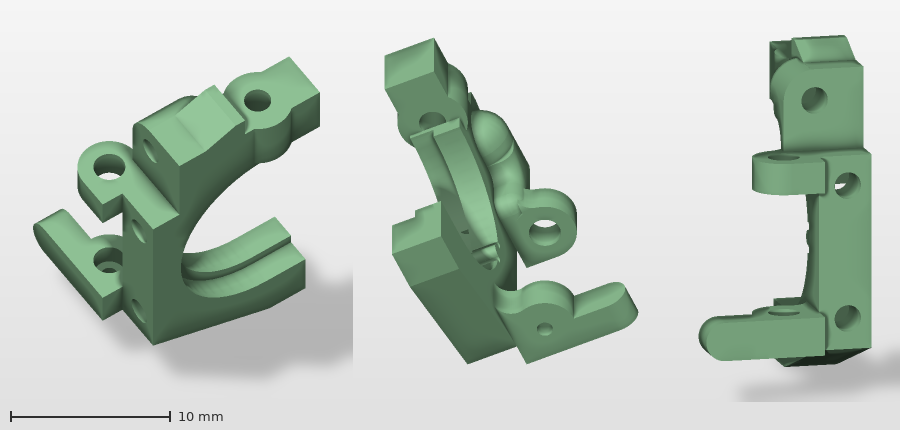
import cadquery as cq
import math

plate_x = 7.65
plate_thickness = 3.38
plate_end_x = plate_x + plate_thickness
plate_middle_x = plate_x + plate_thickness / 2
plate_front_y = 1.5
total_height = 21.5
foot_top_z = 2.97
foot_corner_y = 10.35
arm_end_y = 13.1
shelf_z = 15.37
head_front_y = 3.5
head_top_z = 20.55
ramp_start_y = 5.5
ramp_end_y = 7.78
peak_back_y = 8.5
upper_end_y = 10.3

bore_y = 10.1
bore_z = 9.59
bore_radius = 5.78
recess_x = 9.44
recess_radius = 6.5
tooth_y = 4.32
tooth_radius = 0.5
notch_radius = 0.25

lug_bottom_z = 16.38
lug_top_z = 20.04
lug_end_y = 14.2
boss_y = 10.62
boss_radius = plate_end_x - plate_middle_x + 0.52

screw_diameter = 1.7
screw_depth = 3.0
screw_x = 9.5
upper_screw_z = 13.44
lower_screw_z = 4.92

barrel_radius = 2.0
barrel_x = 7.87
barrel_z = head_top_z - barrel_radius
barrel_bottom_z = barrel_z - barrel_radius
barrel_round = 1.7
head_side_x = barrel_x - barrel_radius

web_back_y = 5.03
web_head_y = 6.02
web_bend = 0.99
web_edge_round = 0.95

ear_x = 5.5
ear_radius = 2.0
ear_y = ear_radius
upper_ear_thickness = 2.0
upper_ear_z = shelf_z - upper_ear_thickness
lower_ear_top_z = 5.42
lower_ear_thickness = lower_ear_top_z - foot_top_z
lower_ear_blend_y = 5.0
pivot_diameter = 2.0
pivot_small_diameter = 1.0
pivot_depth = 1.5
finger_width = 2.0

diagonal = math.sqrt(0.5)


def box(x0, x1, y0, y1, z0, z1):
    return cq.Workplane("XY").box(x1 - x0, y1 - y0, z1 - z0, centered=False).translate((x0, y0, z0))


def cylinder_x(radius, x0, x1, y, z):
    return cq.Workplane("YZ", origin=(x0, 0, 0)).center(y, z).circle(radius).extrude(x1 - x0)


def cylinder_y(radius, y0, y1, x, z):
    return cq.Workplane("XZ", origin=(0, y0, 0)).center(x, z).circle(radius).extrude(y0 - y1)


def cylinder_z(radius, z0, z1, x, y):
    return cq.Workplane("XY", origin=(0, 0, z0)).center(x, y).circle(radius).extrude(z1 - z0)


def frame_opening(radius, x0, x1):
    """Round bore that runs out straight toward +Y."""
    bore = cylinder_x(radius, x0, x1, bore_y, bore_z)
    return bore.union(box(x0, x1, bore_y, lug_end_y, bore_z - radius, bore_z + radius))


def make_frame():
    outline = [
        (plate_front_y, foot_top_z),
        (plate_front_y, shelf_z),
        (head_front_y, shelf_z),
        (head_front_y, head_top_z),
        (ramp_start_y, head_top_z),
        (ramp_end_y, total_height),
        (peak_back_y, total_height),
        (peak_back_y, lug_top_z),
        (upper_end_y, lug_top_z),
        (upper_end_y, bore_z),
        (arm_end_y, bore_z),
        (arm_end_y, 0),
        (foot_corner_y, 0),
    ]
    frame = cq.Workplane("YZ", origin=(plate_x, 0, 0)).polyline(outline).close().extrude(plate_thickness)
    frame = frame.cut(frame_opening(bore_radius, plate_x, plate_end_x))
    for side in (-1, 1):
        notch_z = bore_z + side * (tooth_radius + notch_radius)
        frame = frame.cut(cylinder_x(notch_radius, plate_x, recess_x, tooth_y, notch_z))
    frame = frame.union(cylinder_x(tooth_radius, plate_x, recess_x, tooth_y, bore_z))
    return frame.cut(frame_opening(recess_radius, recess_x, plate_end_x))


def make_lug():
    bar = box(plate_x, plate_end_x, peak_back_y, lug_end_y, lug_bottom_z, lug_top_z)
    return bar.union(cylinder_z(boss_radius, lug_bottom_z, lug_top_z, plate_middle_x, boss_y))


def make_barrel():
    """Rounded cylinder, kept only on the -X side of the plate."""
    barrel = cylinder_y(barrel_radius, head_front_y, peak_back_y, barrel_x, barrel_z)
    barrel = barrel.faces(">Y").edges().fillet(barrel_round)
    return barrel.intersect(box(0, plate_x, 0, lug_end_y, 0, total_height))


def web_slab(x0, x1):
    """Slab under the barrel that bends down to the ear and has a rounded bottom back corner."""
    bend_z = barrel_bottom_z - web_bend
    inner_reach = web_bend * (1 - diagonal)
    return (
        cq.Workplane("YZ", origin=(x0, 0, 0))
        .moveTo(head_front_y, barrel_z)
        .lineTo(web_head_y, barrel_z)
        .lineTo(web_head_y, barrel_bottom_z)
        .threePointArc((web_back_y + inner_reach, barrel_bottom_z - inner_reach), (web_back_y, bend_z))
        .lineTo(web_back_y, upper_ear_z + web_bend)
        .threePointArc(
            (web_back_y - inner_reach, upper_ear_z + inner_reach),
            (web_back_y - web_bend, upper_ear_z),
        )
        .lineTo(head_front_y, upper_ear_z)
        .close()
        .extrude(x1 - x0)
    )


def make_web():
    """Slab beside the plate with its outer back edge rounded."""
    web = web_slab(head_side_x, plate_x)
    outer_back_edge = cq.selectors.BoxSelector(
        (head_side_x - 0.22, web_back_y - 0.22, upper_ear_z + 0.22),
        (head_side_x + 0.22, web_head_y - 0.22, barrel_bottom_z),
    )
    return web.edges(outer_back_edge).fillet(web_edge_round)


def ear_plate(bottom_z, thickness):
    plate = cylinder_z(ear_radius, bottom_z, bottom_z + thickness, ear_x, ear_y)
    return plate.union(box(ear_x, plate_x, 0, head_front_y, bottom_z, bottom_z + thickness))


def make_upper_ear():
    """Ear blended into the web, following the web's rounded bottom corner."""
    blend_start_x = 5.15
    blend_start = (blend_start_x, ear_y + math.sqrt(ear_radius**2 - (ear_x - blend_start_x) ** 2))
    blend_middle = (5.85, 4.3)
    blend_end = (6.2, 4.67)
    blend = (
        cq.Workplane("XY", origin=(0, 0, upper_ear_z))
        .moveTo(*blend_start)
        .threePointArc(blend_middle, blend_end)
        .lineTo(blend_end[0], ear_y)
        .lineTo(blend_start[0], ear_y)
        .close()
        .extrude(upper_ear_thickness)
    )
    blend = blend.intersect(web_slab(blend_start_x, plate_x))
    return ear_plate(upper_ear_z, upper_ear_thickness).union(blend)


def make_lower_ear():
    """Ear blended into the plate by an arc tangent to both, plus the finger."""
    reach_x = plate_x - ear_x
    reach_y = lower_ear_blend_y - ear_y
    blend_radius = (reach_x**2 + reach_y**2 - ear_radius**2) / (2 * (reach_x + ear_radius))
    blend_x = plate_x - blend_radius
    angle = math.atan2(reach_y, blend_x - ear_x)
    tangent = (ear_x + ear_radius * math.cos(angle), ear_y + ear_radius * math.sin(angle))
    middle_angle = (angle - math.pi) / 2
    middle = (
        blend_x + blend_radius * math.cos(middle_angle),
        lower_ear_blend_y + blend_radius * math.sin(middle_angle),
    )
    blend = (
        cq.Workplane("XY", origin=(0, 0, foot_top_z))
        .moveTo(*tangent)
        .threePointArc(middle, (plate_x, lower_ear_blend_y))
        .lineTo(plate_x, ear_y)
        .lineTo(ear_x, ear_y)
        .close()
        .extrude(lower_ear_thickness)
    )
    tip_radius = lower_ear_thickness / 2
    finger = box(tip_radius, plate_x, 0, finger_width, foot_top_z, lower_ear_top_z)
    tip = cylinder_y(tip_radius, 0, finger_width, tip_radius, foot_top_z + tip_radius)
    return ear_plate(foot_top_z, lower_ear_thickness).union(blend).union(finger).union(tip)


def cut_holes(body):
    screw_radius = screw_diameter / 2
    screw_starts = [
        (screw_x, plate_front_y, upper_screw_z),
        (screw_x, plate_front_y, lower_screw_z),
        (barrel_x, head_front_y, barrel_z),
    ]
    for x, y, z in screw_starts:
        body = body.cut(cylinder_y(screw_radius, y, y + screw_depth, x, z))
    body = body.cut(cylinder_z(screw_radius, lug_bottom_z, lug_top_z, plate_middle_x, boss_y))

    pivot_radius = pivot_diameter / 2
    body = body.cut(cylinder_z(pivot_radius, upper_ear_z, shelf_z, ear_x, ear_y))
    pivot_floor_z = lower_ear_top_z - pivot_depth
    body = body.cut(cylinder_z(pivot_radius, pivot_floor_z, lower_ear_top_z, ear_x, ear_y))
    return body.cut(cylinder_z(pivot_small_diameter / 2, foot_top_z, pivot_floor_z, ear_x, ear_y))


body = make_frame()
for piece in (make_lug(), make_barrel(), make_web(), make_upper_ear(), make_lower_ear()):
    body = body.union(piece)
result = cut_holes(body)